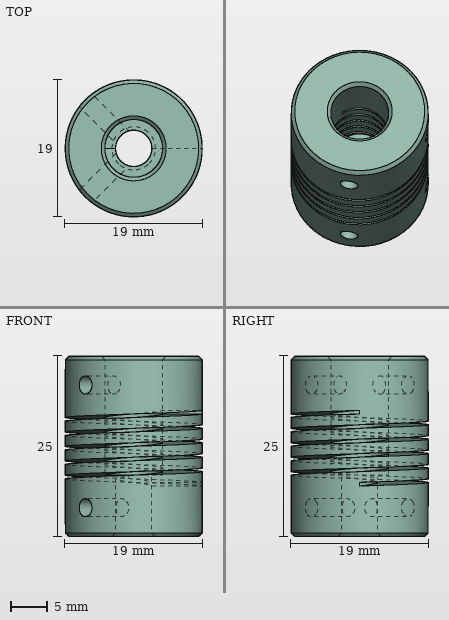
import cadquery as cq

length = 25.0
outer_diameter = 19.0
outer_radius = outer_diameter / 2
edge_chamfer = 0.5

small_bore_diameter = 5.0
large_bore_diameter = 8.0
bore_step_height = 8.5

slot_height = 0.5
slot_pitch = 2.0
slot_turns = 5
slot_start_height = 7.0
slot_overlap = 0.5

screw_diameter = 2.5
screw_end_distance = 4.0
screw_angles = (135, 225)


def bored_body():
    """Cylinder with a stepped bore, chamfered on every end edge."""
    body = cq.Workplane("XY").circle(outer_radius).extrude(length)
    body = body.cut(cq.Workplane("XY").circle(small_bore_diameter / 2).extrude(length))
    large_bore = (
        cq.Workplane("XY", origin=(0, 0, bore_step_height))
        .circle(large_bore_diameter / 2)
        .extrude(length - bore_step_height)
    )
    return body.cut(large_bore).faces("<Z or >Z").edges().chamfer(edge_chamfer)


def helical_slot():
    """Rectangular cutter swept up a right-handed helix from the bore to the outside."""
    inner_radius = small_bore_diameter / 2 - slot_overlap
    cutter_width = outer_radius + slot_overlap - inner_radius
    path = cq.Wire.makeHelix(slot_pitch, slot_pitch * slot_turns, outer_radius)
    slot = (
        cq.Workplane("XZ")
        .center(inner_radius, 0)
        .rect(cutter_width, slot_height, centered=(False, True))
        .sweep(cq.Workplane(path), isFrenet=True)
    )
    return slot.translate((0, 0, slot_start_height + slot_height / 2))


def screw_hole(angle, height):
    """Radial cutter from the axis to the outside at the given angle and height."""
    hole = cq.Workplane("YZ").circle(screw_diameter / 2).extrude(outer_diameter)
    return hole.rotate((0, 0, 0), (0, 0, 1), angle).translate((0, 0, height))


result = bored_body().cut(helical_slot())
for screw_height in (screw_end_distance, length - screw_end_distance):
    for screw_angle in screw_angles:
        result = result.cut(screw_hole(screw_angle, screw_height))